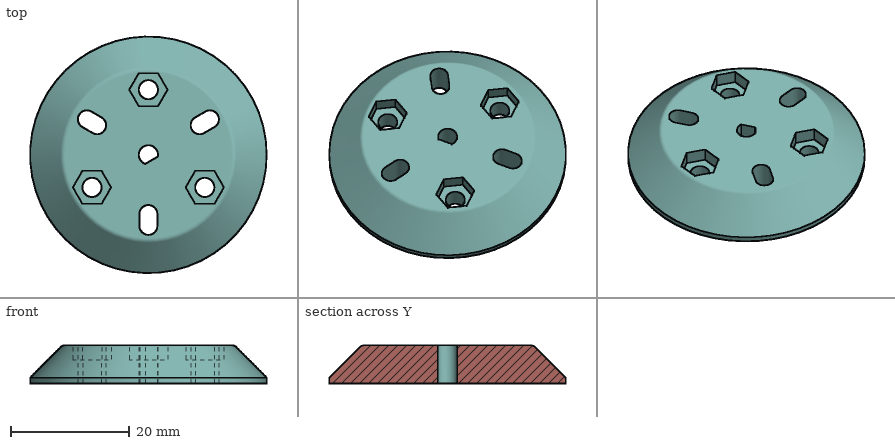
import cadquery as cq
import math

base_diameter = 40
height = 6.5
rim_height = 1.0
cone_rise = height - rim_height
top_radius = base_diameter / 2 - cone_rise
top_edge_fillet = 1.0

pitch_radius = 11.0
bolt_angles = (90, 210, 330)
slot_angles = (30, 150, 270)

bolt_hole_diameter = 3.2
nut_across_flats = 5.6
nut_across_corners = nut_across_flats / math.cos(math.radians(30))
nut_pocket_depth = 2.5

slot_width = 3.0
slot_length = 5.0

shaft_diameter = 3.2
shaft_flat_distance = 1.05
shaft_flat_angle = -60


def pitch_point(angle):
    """Point on the pitch circle at an angle in degrees."""
    radians = math.radians(angle)
    return (pitch_radius * math.cos(radians), pitch_radius * math.sin(radians))


def make_body():
    profile = (
        cq.Workplane("XZ")
        .lineTo(base_diameter / 2, 0)
        .lineTo(base_diameter / 2, rim_height)
        .lineTo(top_radius, height)
        .lineTo(0, height)
        .close()
    )
    return profile.revolve(360, (0, 0), (0, 1)).faces(">Z").edges().fillet(top_edge_fillet)


def make_bolt_holes():
    points = [pitch_point(angle) for angle in bolt_angles]
    holes = cq.Workplane("XY").pushPoints(points).circle(bolt_hole_diameter / 2).extrude(height)
    pockets = (
        cq.Workplane("XY", origin=(0, 0, height - nut_pocket_depth))
        .pushPoints(points)
        .polygon(6, nut_across_corners)
        .extrude(nut_pocket_depth)
    )
    return holes.union(pockets)


def make_radial_slot(angle):
    return (
        cq.Workplane("XY")
        .center(pitch_radius, 0)
        .slot2D(slot_length, slot_width)
        .extrude(height)
        .rotate((0, 0, 0), (0, 0, 1), angle)
    )


def make_shaft_hole():
    shaft = cq.Workplane("XY").circle(shaft_diameter / 2).extrude(height)
    beyond_flat = (
        cq.Workplane("XY", origin=(shaft_flat_distance, 0, 0))
        .rect(shaft_diameter, shaft_diameter)
        .extrude(height)
        .translate((shaft_diameter / 2, 0, 0))
    )
    return shaft.cut(beyond_flat.rotate((0, 0, 0), (0, 0, 1), shaft_flat_angle))


result = make_body().cut(make_bolt_holes()).cut(make_shaft_hole())
for slot_angle in slot_angles:
    result = result.cut(make_radial_slot(slot_angle))